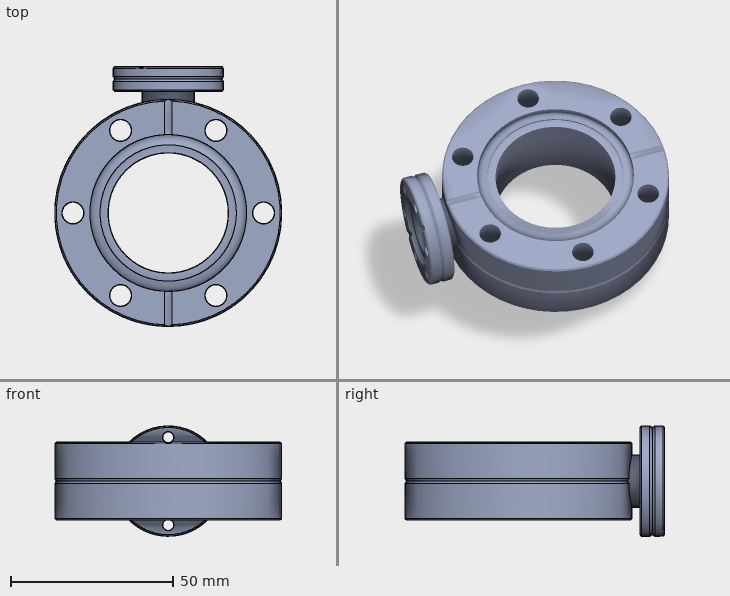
import cadquery as cq
body_diameter = 69.9
body_height = 24.0
bore_diameter = 36.9
body_seat_diameter = 48.3
body_knife_diameter = 42.0
body_hole_diameter = 6.6
body_hole_circle = 58.7

overall_length = 79.95
side_face_y = overall_length - body_diameter / 2
side_diameter = 34.0
side_thickness = 7.6
side_back_y = side_face_y - side_thickness
side_seat_diameter = 21.4
side_knife_diameter = 18.4
side_hole_diameter = 3.35
side_hole_circle = 27.0
neck_diameter = 16.15
port_diameter = 14.1

hole_count = 6
hole_step = 360.0 / hole_count
edge_chamfer = 0.5
rim_groove_width = 1.6
rim_groove_depth = 0.5
leak_groove_width = 2.15
leak_groove_depth = 0.5
seat_depth = 1.8
knife_tip_depth = 0.7
land_depth = 1.2


def revolve_about_z(profile):
    return profile.close().revolve(360, (0, 0, 0), (0, 1, 0))


def rim_disc(diameter, thickness):
    """Chamfered disc standing on the XY plane, with a V groove round the middle of its rim."""
    radius = diameter / 2
    middle = thickness / 2
    half_groove = rim_groove_width / 2
    profile = (
        cq.Workplane("XZ")
        .lineTo(radius - edge_chamfer, 0)
        .lineTo(radius, edge_chamfer)
        .lineTo(radius, middle - half_groove)
        .lineTo(radius - rim_groove_depth, middle)
        .lineTo(radius, middle + half_groove)
        .lineTo(radius, thickness - edge_chamfer)
        .lineTo(radius - edge_chamfer, thickness)
        .lineTo(0, thickness)
    )
    return revolve_about_z(profile)


def seal_recess(seat_diameter, knife_diameter, face_z):
    """Cutter for an upward face: a seat rising inward to a knife edge round a flat land."""
    profile = (
        cq.Workplane("XZ")
        .moveTo(0, face_z)
        .lineTo(seat_diameter / 2, face_z)
        .lineTo(seat_diameter / 2, face_z - seat_depth)
        .lineTo(knife_diameter / 2, face_z - knife_tip_depth)
        .lineTo(knife_diameter / 2, face_z - land_depth)
        .lineTo(0, face_z - land_depth)
    )
    return revolve_about_z(profile)


def bolt_holes(circle_diameter, hole_diameter, thickness, first_angle):
    """Cutters for the ring of through holes."""
    return (
        cq.Workplane("XY")
        .polarArray(circle_diameter / 2, first_angle, 360, hole_count)
        .circle(hole_diameter / 2)
        .extrude(thickness)
    )


def leak_grooves(inner_radius, outer_radius, face_z, angle):
    """Two opposite round-bottomed cutters running outward across an upward face."""
    half_width = leak_groove_width / 2
    groove = (
        cq.Workplane("YZ", origin=(inner_radius, 0, face_z))
        .moveTo(-half_width, 0)
        .threePointArc((0, -leak_groove_depth), (half_width, 0))
        .lineTo(half_width, leak_groove_depth)
        .lineTo(-half_width, leak_groove_depth)
        .close()
        .extrude(outer_radius - inner_radius)
        .rotate((0, 0, 0), (0, 0, 1), angle)
    )
    return groove.union(groove.rotate((0, 0, 0), (0, 0, 1), 180))


def cylinder_along_y(diameter, start_y, end_y):
    """Cylinder whose seam lies at the top, away from the rim groove it may cross."""
    plane = cq.Plane(origin=(0, start_y, 0), xDir=(0, 0, 1), normal=(0, 1, 0))
    return cq.Workplane(plane).circle(diameter / 2).extrude(end_y - start_y)


def build_body():
    """Body with a recess in both faces, and leak grooves in the top face midway between holes."""
    top_recess = seal_recess(body_seat_diameter, body_knife_diameter, body_height)
    bottom_recess = top_recess.mirror("XY", (0, 0, body_height / 2))
    mid_seat_radius = (body_seat_diameter + body_knife_diameter) / 4
    body = (
        rim_disc(body_diameter, body_height)
        .cut(top_recess)
        .cut(bottom_recess)
        .cut(bolt_holes(body_hole_circle, body_hole_diameter, body_height, 0))
        .cut(leak_grooves(mid_seat_radius, body_diameter, body_height, 1.5 * hole_step))
    )
    return body.translate((0, 0, -body_height / 2))


def build_side_flange():
    """Side flange with its sealing face at the +Y end, built upright and then tipped over."""
    mid_seat_radius = (side_seat_diameter + side_knife_diameter) / 4
    flange = (
        rim_disc(side_diameter, side_thickness)
        .cut(seal_recess(side_seat_diameter, side_knife_diameter, side_thickness))
        .cut(bolt_holes(side_hole_circle, side_hole_diameter, side_thickness, hole_step / 2))
        .cut(leak_grooves(mid_seat_radius, side_diameter, side_thickness, -2 * hole_step))
    )
    return flange.rotate((0, 0, 0), (1, 0, 0), -90).translate((0, side_back_y, 0))


neck_start_y = body_seat_diameter / 2
neck = cylinder_along_y(neck_diameter, neck_start_y, side_back_y)
port = cylinder_along_y(port_diameter, 0, side_face_y)
bore = cq.Workplane("XY", origin=(0, 0, -body_height / 2)).circle(bore_diameter / 2).extrude(body_height)

part = build_body().union(neck).union(build_side_flange()).cut(port).cut(bore)
result = part.solids()